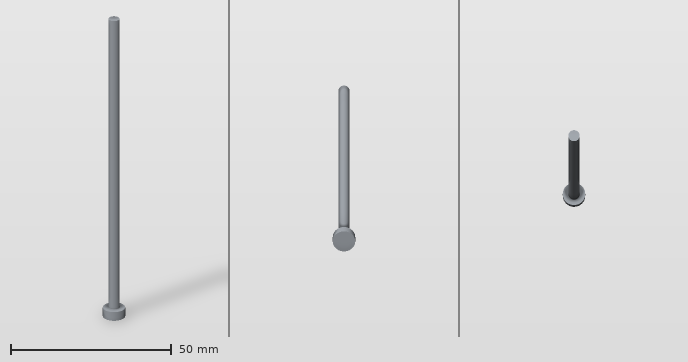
import cadquery as cq

total_length = 103.0
head_diameter = 7.0
head_height = 3.0
shaft_diameter = 3.5
neck_fillet = 0.2

head = cq.Workplane("XY").circle(head_diameter / 2).extrude(head_height)
shaft = cq.Workplane("XY").circle(shaft_diameter / 2).extrude(total_length)

neck_edge = cq.selectors.RadiusNthSelector(0)
result = (
    head.union(shaft)
    .faces(">Z[-2]")
    .edges(neck_edge)
    .fillet(neck_fillet)
)